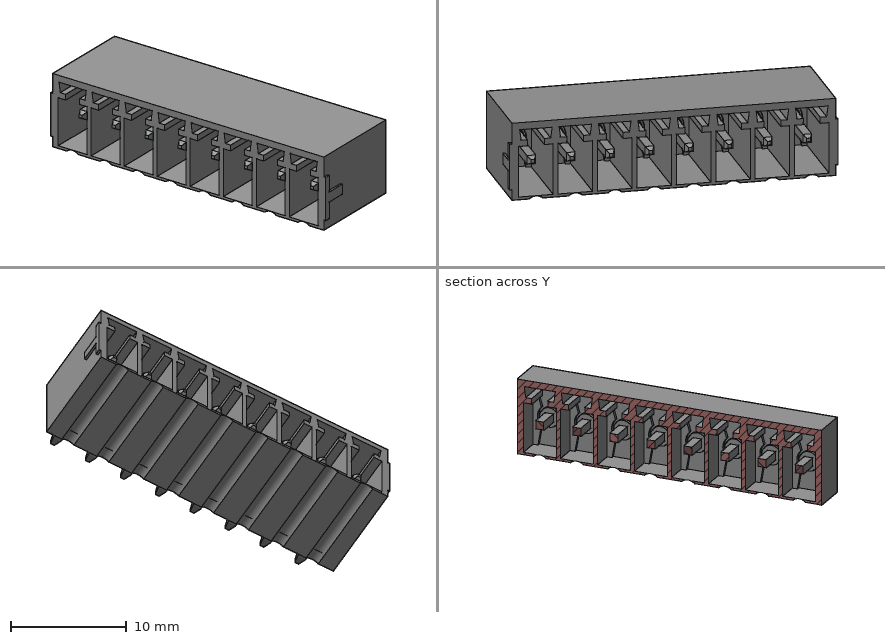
import cadquery as cq


POLE_COUNT = 8
PITCH = 3.5
OVERALL_WIDTH = 29.2
OVERALL_LENGTH = 11.8
HEIGHT = 7.0

HOUSING_DEPTH = 9.2
TAB_THICKNESS = 0.2
HOUSING_WIDTH = OVERALL_WIDTH - 2 * TAB_THICKNESS

TAB_CENTRE_Z = 3.05
TAB_ARM_HEIGHT = 4.15
TAB_ARM_DEPTH = 0.53
TAB_STEM_HEIGHT = 0.95
TAB_STEM_DEPTH = 2.45

CAVITY_DEPTH = 7.88
CAVITY_WIDTH = 3.07
CAVITY_FLOOR_Z = 0.25
CAVITY_TOP_Z = 4.85

NECK_WIDTH = 1.5
NECK_TOP_Z = 5.4
DOVETAIL_BOTTOM_WIDTH = 2.63
DOVETAIL_TOP_WIDTH = 2.9
DOVETAIL_TOP_Z = 6.37
KEYWAY_HALF_OUTLINE = [
    (NECK_WIDTH / 2, CAVITY_TOP_Z),
    (NECK_WIDTH / 2, NECK_TOP_Z),
    (DOVETAIL_BOTTOM_WIDTH / 2, NECK_TOP_Z),
    (DOVETAIL_TOP_WIDTH / 2, DOVETAIL_TOP_Z),
]

RECESS_DEPTH = 0.3
RECESS_DIAMETER = 2.22
RECESS_TOP_WIDTH = 2.07
RECESS_WAIST_WIDTH = 1.45
RECESS_WAIST_HEIGHT = 1.6
RECESS_FLOOR_WIDTH = 2.13
BOSS_DIAMETER = 1.8

GROOVE_DIAMETER = 1.8
GROOVE_RISE = 0.23

PIN_Z = 3.0
PIN_SIZE = 0.8
PIN_FRONT_Y = 1.2
PIN_BACK_Y = OVERALL_LENGTH
FRONT_TAPER = 0.47
FRONT_TIP_SIZE = 0.32
BACK_TAPER = 0.82
BACK_TIP_SIZE = 0.38


def pole_positions():
    first = -PITCH * (POLE_COUNT - 1) / 2
    return [first + PITCH * i for i in range(POLE_COUNT)]


def mirrored_prism(half_outline, y_start, length):
    """Extrude a symmetric outline toward +Y; half_outline lists its right half as (x, z), bottom to top."""
    left_half = [(-x, z) for x, z in reversed(half_outline)]
    plane = cq.Workplane("XZ", origin=(0, y_start, 0))
    return plane.polyline(half_outline + left_half).close().extrude(-length)


def cylinder_along_y(diameter, z, y_start, length):
    return cq.Workplane("XZ", origin=(0, y_start, z)).circle(diameter / 2).extrude(-length)


def end_tabs():
    """Tabs on both ends, made as one T-shaped bar that runs through the whole housing width."""
    arm = cq.Workplane("XY").box(OVERALL_WIDTH, TAB_ARM_DEPTH, TAB_ARM_HEIGHT, centered=(True, False, True))
    stem = cq.Workplane("XY").box(OVERALL_WIDTH, TAB_STEM_DEPTH, TAB_STEM_HEIGHT, centered=(True, False, True))
    return arm.union(stem).translate((0, 0, TAB_CENTRE_Z))


def cavity():
    """Rectangular cavity and dovetail keyway, in one outline."""
    half_outline = [
        (CAVITY_WIDTH / 2, CAVITY_FLOOR_Z),
        (CAVITY_WIDTH / 2, CAVITY_TOP_Z),
        *KEYWAY_HALF_OUTLINE,
    ]
    return mirrored_prism(half_outline, 0, CAVITY_DEPTH)


def back_wall_recess():
    """Waisted recess, widened by a circle around the pin, that leaves a boss standing."""
    half_outline = [
        (RECESS_FLOOR_WIDTH / 2, CAVITY_FLOOR_Z),
        (RECESS_WAIST_WIDTH / 2, PIN_Z - RECESS_WAIST_HEIGHT / 2),
        (RECESS_WAIST_WIDTH / 2, PIN_Z + RECESS_WAIST_HEIGHT / 2),
        (RECESS_TOP_WIDTH / 2, CAVITY_TOP_Z),
        *KEYWAY_HALF_OUTLINE,
    ]
    waisted = mirrored_prism(half_outline, CAVITY_DEPTH, RECESS_DEPTH)
    ring = cylinder_along_y(RECESS_DIAMETER, PIN_Z, CAVITY_DEPTH, RECESS_DEPTH)
    boss = cylinder_along_y(BOSS_DIAMETER, PIN_Z, CAVITY_DEPTH, RECESS_DEPTH)
    return waisted.union(ring).cut(boss)


def underside_groove():
    return cylinder_along_y(GROOVE_DIAMETER, GROOVE_RISE - GROOVE_DIAMETER / 2, 0, HOUSING_DEPTH)


def pin_hole():
    wall = HOUSING_DEPTH - CAVITY_DEPTH
    hole = cq.Workplane("XY").box(PIN_SIZE, wall, PIN_SIZE, centered=(True, False, True))
    return hole.translate((0, CAVITY_DEPTH, PIN_Z))


def make_housing():
    block = cq.Workplane("XY").box(HOUSING_WIDTH, HOUSING_DEPTH, HEIGHT, centered=(True, False, False))
    housing = block.union(end_tabs())
    for x in pole_positions():
        for cutter in (cavity(), back_wall_recess(), underside_groove(), pin_hole()):
            housing = housing.cut(cutter.translate((x, 0, 0)))
    return housing


def tapered_tip(y_base, direction, length, tip_size):
    """Frustum from the full pin section at y_base to a smaller square; direction is +1 or -1 along Y."""
    plane = cq.Plane(origin=(0, y_base, PIN_Z), xDir=(1, 0, 0), normal=(0, direction, 0))
    base = cq.Workplane(plane).rect(PIN_SIZE, PIN_SIZE)
    return base.workplane(offset=length).rect(tip_size, tip_size).loft(ruled=True)


def make_pin(x):
    shank_front = PIN_FRONT_Y + FRONT_TAPER
    shank_back = PIN_BACK_Y - BACK_TAPER
    shank = cq.Workplane("XY").box(PIN_SIZE, shank_back - shank_front, PIN_SIZE, centered=(True, False, True))
    shank = shank.translate((0, shank_front, PIN_Z))
    front_tip = tapered_tip(shank_front, -1, FRONT_TAPER, FRONT_TIP_SIZE)
    back_tip = tapered_tip(shank_back, 1, BACK_TAPER, BACK_TIP_SIZE)
    pin = shank.union(front_tip).union(back_tip)
    return pin.translate((x, 0, 0))


housing = make_housing()
pins = [make_pin(x) for x in pole_positions()]

result = cq.Compound.makeCompound([housing.val(), *[pin.val() for pin in pins]])